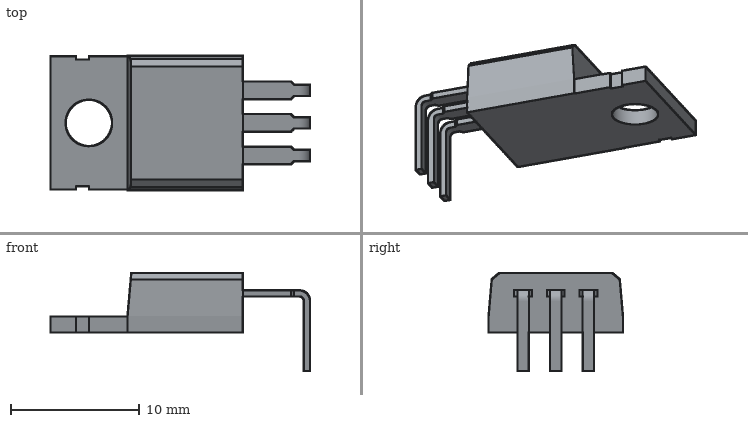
import cadquery as cq

tab_length = 6.0
tab_width = 10.4
tab_thickness = 1.25
hole_diameter = 3.6
hole_x = tab_length / 2
notch_start_x = 2.0
notch_length = 1.0
notch_depth = 0.25

body_length = 9.0
body_width = 10.5
body_height = 4.65
body_side_taper = 0.25
body_front_taper = 0.3
chamfer_height = 0.5
chamfer_width = 0.6
body_end_x = tab_length + body_length

lead_count = 3
lead_pitch = 2.54
lead_thickness = 0.5
lead_top_z = 3.3
lead_bottom_z = -3.0
lead_reach = 5.25
lead_wide = 1.4
lead_narrow = 0.9
neck_start = 3.75
neck_length = (lead_wide - lead_narrow) / 2
bend_outer_radius = 0.85
bend_inner_radius = bend_outer_radius - lead_thickness


def make_tab():
    """Flat plate with a mounting hole and a shallow notch in each long edge."""
    tab = cq.Workplane("XY").box(tab_length, tab_width, tab_thickness, centered=(False, True, False))
    hole = cq.Workplane("XY").center(hole_x, 0).circle(hole_diameter / 2).extrude(tab_thickness)
    notches = (
        cq.Workplane("XY")
        .pushPoints([(notch_start_x + notch_length / 2, side * tab_width / 2) for side in (-1, 1)])
        .rect(notch_length, 2 * notch_depth)
        .extrude(tab_thickness)
    )
    return tab.cut(hole).cut(notches)


def make_body():
    """Cross-section extruded along X, trimmed by the sloping face above the tab."""
    base_half = body_width / 2
    shoulder_half = base_half - body_side_taper
    top_half = shoulder_half - chamfer_width
    shoulder_z = body_height - chamfer_height
    section = (
        cq.Workplane("YZ", origin=(tab_length, 0, 0))
        .moveTo(-base_half, 0)
        .lineTo(base_half, 0)
        .lineTo(base_half, tab_thickness)
        .lineTo(shoulder_half, shoulder_z)
        .lineTo(top_half, body_height)
        .lineTo(-top_half, body_height)
        .lineTo(-shoulder_half, shoulder_z)
        .lineTo(-base_half, tab_thickness)
        .close()
        .extrude(body_length)
    )
    front_wedge = (
        cq.Workplane("XZ")
        .moveTo(tab_length, tab_thickness)
        .lineTo(tab_length + body_front_taper, body_height)
        .lineTo(tab_length, body_height)
        .close()
        .extrude(body_width / 2, both=True)
    )
    return section.cut(front_wedge)


def make_lead():
    """Bent strip in the XZ plane, limited to the necked outline in plan."""
    tip_x = body_end_x + lead_reach
    bend_x = tip_x - bend_outer_radius
    bend_z = lead_top_z - bend_outer_radius
    strip = (
        cq.Workplane("XZ")
        .moveTo(body_end_x, lead_top_z)
        .lineTo(bend_x, lead_top_z)
        .radiusArc((tip_x, bend_z), bend_outer_radius)
        .lineTo(tip_x, lead_bottom_z)
        .lineTo(tip_x - lead_thickness, lead_bottom_z)
        .lineTo(tip_x - lead_thickness, bend_z)
        .radiusArc((bend_x, lead_top_z - lead_thickness), -bend_inner_radius)
        .lineTo(body_end_x, lead_top_z - lead_thickness)
        .close()
        .extrude(lead_wide / 2, both=True)
    )
    neck_x = body_end_x + neck_start
    outline = (
        cq.Workplane("XY", origin=(0, 0, lead_bottom_z))
        .moveTo(body_end_x, -lead_wide / 2)
        .lineTo(neck_x, -lead_wide / 2)
        .lineTo(neck_x + neck_length, -lead_narrow / 2)
        .lineTo(tip_x, -lead_narrow / 2)
        .lineTo(tip_x, lead_narrow / 2)
        .lineTo(neck_x + neck_length, lead_narrow / 2)
        .lineTo(neck_x, lead_wide / 2)
        .lineTo(body_end_x, lead_wide / 2)
        .close()
        .extrude(lead_top_z - lead_bottom_z)
    )
    return strip.intersect(outline)


result = make_tab().union(make_body())
lead = make_lead()
for index in range(lead_count):
    lead_y = (index - (lead_count - 1) / 2) * lead_pitch
    result = result.union(lead.translate((0, lead_y, 0)))